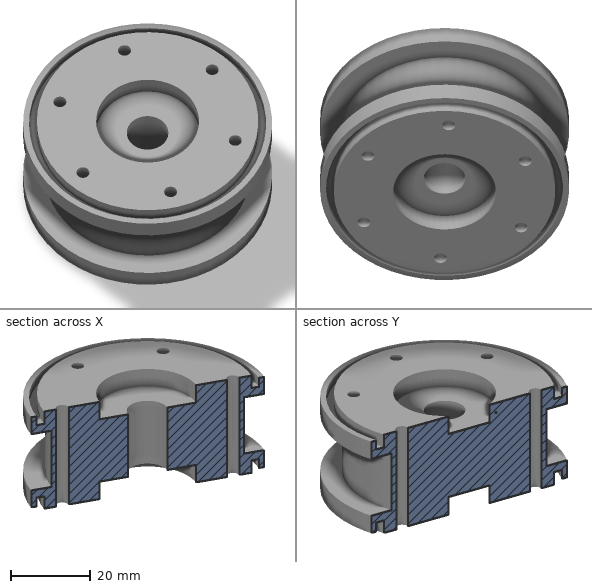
import cadquery as cq

flange_diameter = 63.0
body_diameter = 52.0
total_height = 28.0
flange_thickness = 5.0

face_diameter = 56.0
face_rise = 1.0
groove_outer_diameter = 60.0
groove_depth = 2.5

bore_diameter = 10.5
counterbore_diameter = 26.0
counterbore_depth = 5.0

hole_count = 6
hole_diameter = 3.3
hole_circle_diameter = 46.0
first_hole_angle = 90
full_turn = 360

half_height = total_height / 2
flange_outer_z = half_height - face_rise
flange_inner_z = flange_outer_z - flange_thickness


def disc(diameter, bottom_z, top_z):
    """Solid cylinder about Z between two heights."""
    return cq.Workplane("XY").workplane(offset=bottom_z).circle(diameter / 2).extrude(top_z - bottom_z)


def upper_flange():
    """Flange with a raised face inside a shallow ring groove."""
    flange = disc(flange_diameter, flange_inner_z, flange_outer_z)
    recess = disc(groove_outer_diameter, flange_outer_z - groove_depth, flange_outer_z)
    raised_face = disc(face_diameter, flange_inner_z, half_height)
    return flange.cut(recess).union(raised_face)


def through_holes():
    """Cutters for the evenly spaced holes through both ends."""
    return (
        cq.Workplane("XY")
        .workplane(offset=-half_height)
        .polarArray(hole_circle_diameter / 2, first_hole_angle, full_turn, hole_count)
        .circle(hole_diameter / 2)
        .extrude(total_height)
    )


top_end = upper_flange()
bottom_end = top_end.mirror("XY")
body = disc(body_diameter, -flange_inner_z, flange_inner_z)
spool = body.union(top_end).union(bottom_end)

bore = disc(bore_diameter, -half_height, half_height)
top_counterbore = disc(counterbore_diameter, half_height - counterbore_depth, half_height)
bottom_counterbore = top_counterbore.mirror("XY")

result = spool.cut(bore).cut(top_counterbore).cut(bottom_counterbore).cut(through_holes())